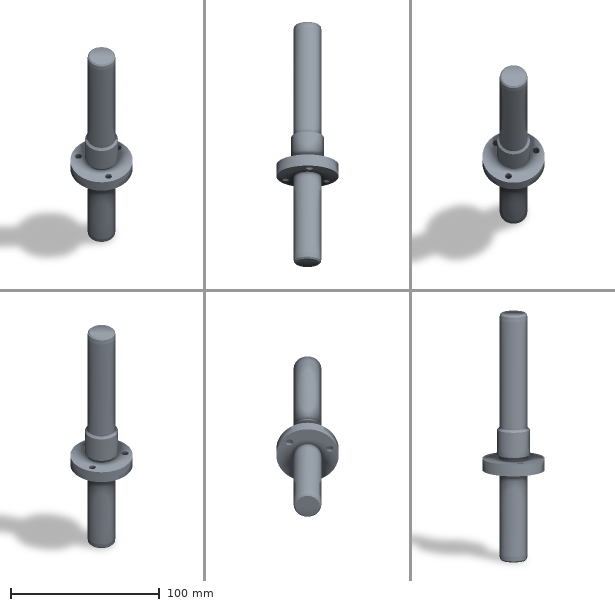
import cadquery as cq

length = 170.0
shaft_radius = 9.5
end_face_radius = 8.2
taper_small_radius = 9.2
end_chamfer_height = 1.0
taper_height = 3.0

flange_diameter = 42.0
flange_radius = flange_diameter / 2
flange_bottom = 62.0
flange_thickness = 8.0
flange_top = flange_bottom + flange_thickness

collar_radius = 11.0
collar_chamfer = collar_radius - shaft_radius
collar_bottom = flange_top + 1.0
collar_top = 91.5

groove_radius = 9.2
groove_flat_height = 1.0
groove_slope_height = shaft_radius - groove_radius
groove_slope_top = flange_bottom - groove_flat_height
groove_bottom = groove_slope_top - groove_slope_height

hole_count = 3
hole_diameter = 4.6
hole_circle_radius = 16.0


def turned_body():
    """Revolve the half profile (radius, height) about the Z axis."""
    lower_end = [
        (0, 0),
        (end_face_radius, 0),
        (taper_small_radius, end_chamfer_height),
        (shaft_radius, end_chamfer_height + taper_height),
    ]
    upper_end = [(radius, length - height) for radius, height in reversed(lower_end)]
    groove = [
        (shaft_radius, groove_bottom),
        (groove_radius, groove_slope_top),
        (groove_radius, flange_bottom),
    ]
    flange = [
        (flange_radius, flange_bottom),
        (flange_radius, flange_top),
        (shaft_radius, flange_top),
    ]
    collar = [
        (shaft_radius, collar_bottom),
        (collar_radius, collar_bottom + collar_chamfer),
        (collar_radius, collar_top - collar_chamfer),
        (shaft_radius, collar_top),
    ]
    profile = lower_end + groove + flange + collar + upper_end
    return cq.Workplane("XZ").polyline(profile).close().revolve(360, (0, 0), (0, 1))


def flange_holes():
    """Through-hole cutters, evenly spaced with the first one on +X."""
    return (
        cq.Workplane("XY")
        .workplane(offset=flange_bottom)
        .polarArray(hole_circle_radius, 0, 360, hole_count)
        .circle(hole_diameter / 2)
        .extrude(flange_thickness)
    )


result = turned_body().cut(flange_holes())